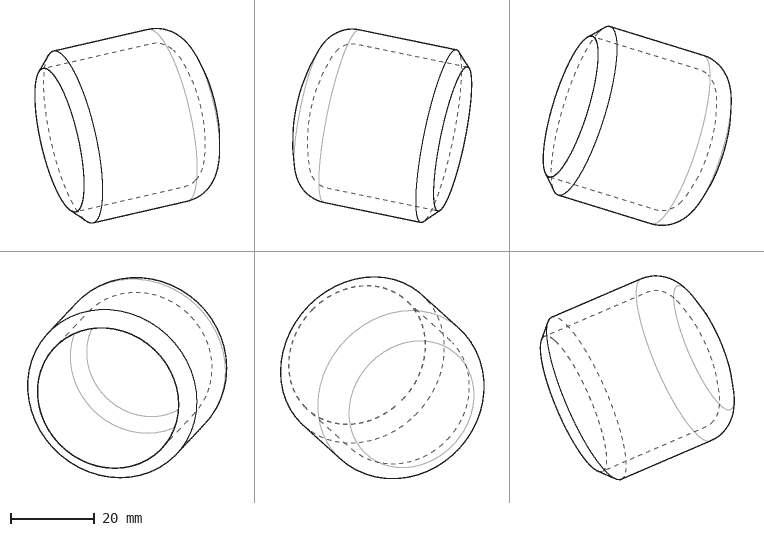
import cadquery as cq
import math

outer_radius = 21.1
wall = 3.55
total_length = 38.1
skirt_length = 27.45
bevel = 3.45
crown_radius = 42.2

head_height = total_length - skirt_length
crown_center_y = total_length - crown_radius
crown_offset = crown_radius - head_height
knuckle_radius = (crown_radius**2 - outer_radius**2 - crown_offset**2) / (
    2 * (crown_radius - outer_radius)
)
knuckle_center_x = outer_radius - knuckle_radius
joint_angle = math.asin(knuckle_center_x / (crown_radius - knuckle_radius))


def crown_point(inset, angle):
    """Point on the crown, inset from the outside, at an angle from the axis."""
    radius = crown_radius - inset
    return radius * math.sin(angle), crown_center_y + radius * math.cos(angle)


def knuckle_middle(inset):
    """Midpoint of the knuckle arc, inset from the outside."""
    radius = knuckle_radius - inset
    angle = (joint_angle + math.pi / 2) / 2
    return (
        knuckle_center_x + radius * math.sin(angle),
        skirt_length + radius * math.cos(angle),
    )


def cap_solid(inset):
    """Solid enclosed by the cap surface at the given inset."""
    profile = (
        cq.Workplane("XY")
        .lineTo(outer_radius - inset, 0)
        .lineTo(outer_radius - inset, skirt_length)
        .threePointArc(knuckle_middle(inset), crown_point(inset, joint_angle))
        .threePointArc(crown_point(inset, joint_angle / 2), crown_point(inset, 0))
        .close()
    )
    return profile.revolve(360, (0, 0, 0), (0, 1, 0))


outside = cap_solid(0).faces("<Y").edges().chamfer(bevel)
cavity = cap_solid(wall)
result = outside.cut(cavity)